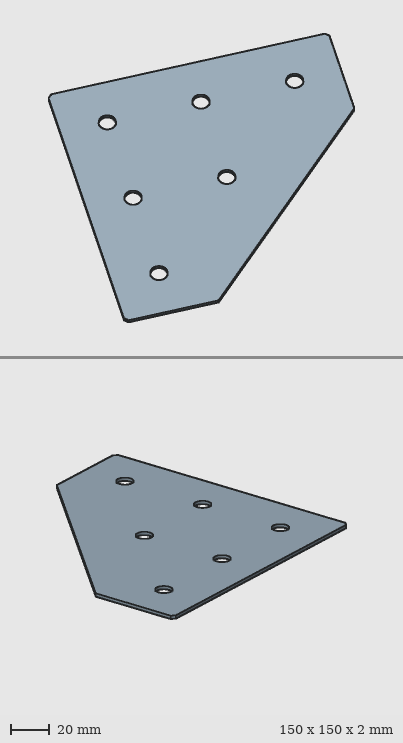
import cadquery as cq

side = 150.0
thickness = 2.0
holes_per_leg = 3
hole_diameter = 9.0
corner_chamfer = 2.0

pitch = side / holes_per_leg
edge_offset = pitch / 2


def plate():
    """Square plate with its +X +Y corner cut off diagonally and the other corners chamfered."""
    outline = [
        (0, 0),
        (side, 0),
        (side, pitch),
        (pitch, side),
        (0, side),
    ]
    body = cq.Workplane("XY").polyline(outline).close().extrude(thickness)
    square_corners = body.edges("|Z and (<X or <Y)")
    return square_corners.chamfer(corner_chamfer)


def hole_centres():
    """Triangular grid of holes, parallel to the diagonal edge."""
    return [
        (edge_offset + column * pitch, edge_offset + row * pitch)
        for row in range(holes_per_leg)
        for column in range(holes_per_leg - row)
    ]


holes = cq.Workplane("XY").pushPoints(hole_centres()).circle(hole_diameter / 2).extrude(thickness)

result = plate().cut(holes)